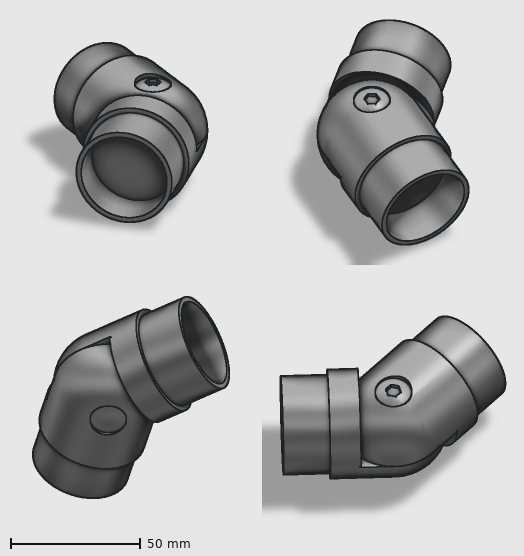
import cadquery as cq
import math


overall_length = 87.1
bend_angle = 45.0
collar_radius = 21.2
spigot_radius = 19.2
bore_radius = 17.2
spigot_length = 18.0
bore_depth = 15.9
relief_start = 13.25
pin_radius = 7.1
pin_top_edge = 19.3
pin_bottom_edge = -19.95
dome_height = 1.8
socket_width = 5.2
socket_floor = 19.2

bend = math.radians(bend_angle)
arm_length = (overall_length - spigot_radius * math.sin(bend)) / (1 + math.cos(bend))
collar_end = arm_length - spigot_length
relief_radius = math.hypot(collar_radius, relief_start)
socket_corner_diameter = socket_width / math.cos(math.radians(30))


def rod(radius, start, end):
    """Cylinder along -X between two distances from the pivot."""
    return cq.Workplane("YZ").workplane(offset=-end).circle(radius).extrude(end - start)


def half_space(side):
    """Block covering everything above (side = 1) or below (side = -1) the joint plane."""
    size = 2 * overall_length
    return cq.Workplane("XY").box(size, size, size).translate((0, 0, side * size / 2))


def make_arm():
    """Arm along -X, with its pivot cheek above the joint plane."""
    cheek = rod(collar_radius, 0, collar_end).union(cq.Workplane("XY").sphere(collar_radius))
    cheek = cheek.intersect(half_space(1))
    cheek = cheek.cut(cq.Workplane("XY").circle(pin_radius).extrude(collar_radius))

    relieved_half = rod(collar_radius, relief_start, collar_end).intersect(half_space(-1))
    relieved_half = relieved_half.cut(cq.Workplane("XY").sphere(relief_radius))

    spigot = rod(spigot_radius, collar_end, arm_length)
    bore = rod(bore_radius, arm_length - bore_depth, arm_length)
    return cheek.union(relieved_half).union(spigot).cut(bore)


def make_pin():
    """Pivot pin with a dome at each end and a hexagon socket in the top."""
    pin = (
        cq.Workplane("XZ")
        .moveTo(0, pin_bottom_edge - dome_height)
        .threePointArc(dome_point(pin_bottom_edge, -1), (pin_radius, pin_bottom_edge))
        .lineTo(pin_radius, pin_top_edge)
        .threePointArc(dome_point(pin_top_edge, 1), (0, pin_top_edge + dome_height))
        .close()
        .revolve(360, (0, 0), (0, 1))
    )
    socket = (
        cq.Workplane("XY")
        .workplane(offset=socket_floor)
        .polygon(6, socket_corner_diameter)
        .extrude(pin_top_edge + dome_height - socket_floor)
    )
    return pin.cut(socket)


def dome_point(edge_height, side):
    """Point on a dome's profile at half the pin radius."""
    dome_radius = (pin_radius**2 + dome_height**2) / (2 * dome_height)
    radius = pin_radius / 2
    drop = dome_radius - math.sqrt(dome_radius**2 - radius**2)
    return radius, edge_height + side * (dome_height - drop)


def place_arm(swung):
    """Fixed arm, or the same arm turned over and swung round to the bend angle."""
    arm = make_arm()
    if swung:
        arm = arm.rotate((0, 0, 0), (1, 0, 0), 180)
        arm = arm.rotate((0, 0, 0), (0, 0, 1), 180 - bend_angle)
    return arm


arms = [place_arm(swung).val() for swung in (False, True)]
pin = make_pin()

result = cq.Compound.makeCompound([*arms, pin.val()])